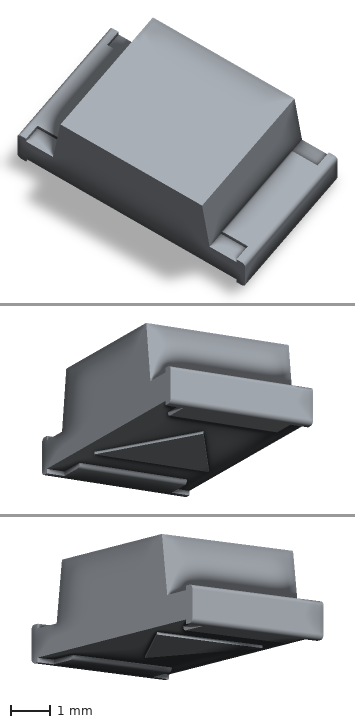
import cadquery as cq

length = 7.1
width = 4.1
height = 2.5

terminal_height = 1.0
terminal_reach = 1.115
terminal_radius = 0.12
end_wall = 0.1
flange_thickness = 0.12
notch_margin = 0.27
notch_width = 0.505

plate_length = length - 2 * end_wall
plate_bottom = flange_thickness
plate_top = terminal_height - flange_thickness

lens_top_length = 4.415
lens_bottom_length = 4.885

mark_length = 2.855
mark_width = 3.295
mark_thickness = 0.07


def make_plate():
    plate = cq.Workplane("XY").box(plate_length, width, plate_top - plate_bottom, centered=(True, True, False))
    return plate.translate((0, 0, plate_bottom))


def make_lens():
    return (
        cq.Workplane("XZ")
        .moveTo(-lens_bottom_length / 2, plate_top)
        .lineTo(lens_bottom_length / 2, plate_top)
        .lineTo(lens_top_length / 2, height)
        .lineTo(-lens_top_length / 2, height)
        .close()
        .extrude(width / 2, both=True)
    )


def make_terminal(side):
    """Build one rounded end cap with its flange corners notched; side is -1 or 1 along X."""
    terminal = (
        cq.Workplane("XY")
        .box(terminal_reach, width, terminal_height, centered=(True, True, False))
        .edges("|Y")
        .fillet(terminal_radius)
        .translate((side * (length - terminal_reach) / 2, 0, 0))
    )
    notch_length = terminal_reach - notch_margin
    notch_x = side * (length / 2 - notch_margin - notch_length / 2)
    notch_y = (width - notch_width) / 2
    notches = (
        cq.Workplane("XY")
        .pushPoints([(notch_x, -notch_y), (notch_x, notch_y)])
        .box(notch_length, notch_width, terminal_height, centered=(True, True, False))
    )
    return terminal.cut(notches)


def make_polarity_mark():
    half_length = mark_length / 2
    half_width = mark_width / 2
    return (
        cq.Workplane("XY")
        .workplane(offset=plate_bottom - mark_thickness)
        .polyline([(half_length, -half_width), (-half_length, 0), (half_length, half_width)])
        .close()
        .extrude(mark_thickness)
    )


result = make_plate().union(make_lens()).union(make_polarity_mark())
for side in (-1, 1):
    result = result.union(make_terminal(side))